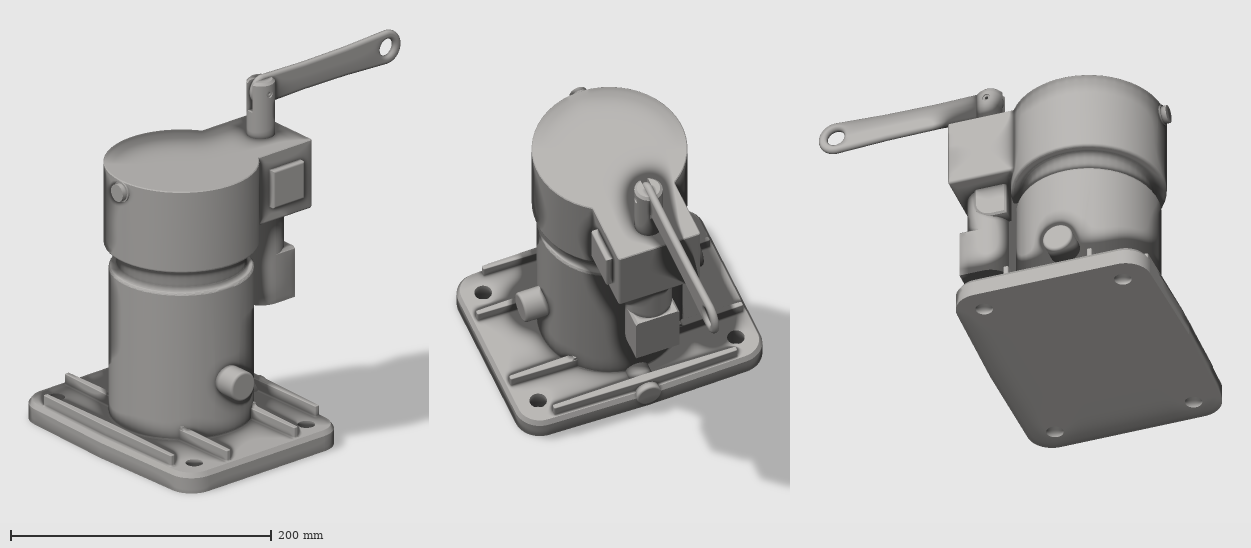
import cadquery as cq
import math

overall_height = 277.46
select_margin = 1.0

base_length = 203.0
base_front_y = 81.45
base_back_y = 80.5
base_end_y = 78.2
base_corner_radius = 20.0
base_height = 16.5
base_bevel_height = 3.7
base_bevel_inset = 2.5
bolt_hole_diameter = 13.5
bolt_spacing_x = 164.0
bolt_spacing_y = 113.0

rib_top_z = 25.5
rib_end_width = 4.0
edge_rib_middle_width = 7.0
side_rib_middle_width = 9.0
rib_end_round = 1.2
rib_top_round = 0.6
side_rib_y = 34.0
side_rib_tip_x = 96.5
edge_rib_y = 72.8
edge_rib_tip_x = 76.0
foot_fillet = 1.2
rib_root_fillet = 2.5
rib_root_fillet_width = 6.0

body_radius = 56.0
body_top_z = 140.0
neck_radius = 50.0
neck_fillet = 3.0
head_radius = 60.0
head_bottom_z = 158.0
head_top_z = 226.8
head_top_chamfer = 0.7
shoulder_round = 2.2
trunnion_diameter = 24.0
trunnion_tip_x = 74.0
trunnion_z = 61.5
trunnion_round = 2.0

block_half_width = 34.0
block_back_y = 103.3
block_bottom_z = 169.0
block_edge_round = 2.0
block_junction_fillet = 2.0
cover_length_y = 31.0
cover_height_z = 31.0
cover_thickness = 5.5
cover_center_y = 75.3
cover_round = 1.5

shaft_y = 80.0
side_cylinder_radius = 18.0
side_cylinder_bottom_z = 90.0
square_back_top_z = 132.5
square_back_y = 99.2
square_top_bevel = 1.8
web_half_width = 6.0
pad_x = 19.0
pad_front_y = 61.0
pad_back_y = 87.0
pad_bottom_z = 142.0
pad_corner_radius = 14.0
pad_bevel = 1.5

plug_diameter = 14.0
plug_collar_diameter = 16.5
plug_z = 218.0
plug_tip_y = 65.0
plug_collar_y = 61.0
port_diameter = 20.0
port_z = 13.0
port_tip_y = 82.0
port_round = 1.5

shaft_diameter = 22.0
shaft_top_z = 273.0
shaft_chamfer = 2.0
shaft_depth = 30.0
slot_bottom_z = 248.2
lever_thickness = 6.0
lever_eye_radius = 14.0
lever_eye_y = 206.0
lever_z = overall_height - lever_eye_radius
lever_eye_hole_diameter = 14.0
lever_waist_half_height = 11.5
lever_root_half_height = 12.5
lever_root_reach = 10.3
lever_root_corner_radius = 5.0
lever_edge_round = 2.95
pin_diameter = 6.0
pin_length = 20.0
pin_bore_diameter = 2.7


def cylinder_x(diameter, x_start, x_end, y, z):
    """Cylinder along X between two X positions."""
    disc = cq.Workplane("YZ", origin=(x_start, y, z)).circle(diameter / 2)
    return disc.extrude(x_end - x_start)


def cylinder_y(diameter, y_start, y_end, z):
    """Cylinder along Y, on the middle plane of the pump."""
    length = y_end - y_start
    disc = cq.Workplane("XZ", origin=(0, y_start, z)).circle(diameter / 2)
    return disc.extrude(-length)


def box_between(x_range, y_range, z_range):
    """Box from its lower and upper limits along each axis."""
    size = [high - low for low, high in (x_range, y_range, z_range)]
    corner = (x_range[0], y_range[0], z_range[0])
    return cq.Workplane("XY", origin=corner).box(*size, centered=False)


def edges_between(edges, x_range, y_range, z_range):
    """Those of the edges whose centers lie within the limits, widened by the margin."""
    ranges = (x_range, y_range, z_range)
    low = [limits[0] - select_margin for limits in ranges]
    high = [limits[1] + select_margin for limits in ranges]
    box = cq.selectors.BoxSelector(low, high)
    return edges.newObject(box.filter(edges.vals()))


def make_plate():
    half = base_length / 2
    outline = [
        (-half, -base_end_y),
        (0, -base_front_y),
        (half, -base_end_y),
        (half, base_end_y),
        (0, base_back_y),
        (-half, base_end_y),
    ]
    plate = cq.Workplane("XY").polyline(outline).close().extrude(base_height)
    plate = plate.edges("|Z").edges("<X or >X").fillet(base_corner_radius)
    return plate.faces(">Z").edges().chamfer(base_bevel_height, base_bevel_inset)


def make_bolt_holes():
    return (
        cq.Workplane("XY")
        .rect(bolt_spacing_x, bolt_spacing_y, forConstruction=True)
        .vertices()
        .circle(bolt_hole_diameter / 2)
        .extrude(base_height)
    )


def make_rib(half_length, middle_width, y):
    """Rib along X, widest in the middle and tapering in plan to both ends."""
    middle_half = middle_width / 2
    end_half = rib_end_width / 2
    plan = [
        (-half_length, y - end_half),
        (0, y - middle_half),
        (half_length, y - end_half),
        (half_length, y + end_half),
        (0, y + middle_half),
        (-half_length, y + end_half),
    ]
    rib = cq.Workplane("XY").polyline(plan).close().extrude(rib_top_z)
    rib = rib.edges("|Z").edges("<X or >X").fillet(rib_end_round)
    return rib.faces(">Z").edges().fillet(rib_top_round)


def make_rib_root(y):
    """Concave rises on top of a side rib, one on each side of the body."""
    body_x = math.sqrt(body_radius**2 - y**2)
    tip_x = body_x + rib_root_fillet
    top_z = rib_top_z + rib_root_fillet
    inset = rib_root_fillet * (1 - math.sqrt(0.5))
    return (
        cq.Workplane("XZ", origin=(0, y, 0))
        .moveTo(-tip_x, rib_top_z)
        .threePointArc((-body_x - inset, rib_top_z + inset), (-body_x, top_z))
        .lineTo(body_x, top_z)
        .threePointArc((body_x + inset, rib_top_z + inset), (tip_x, rib_top_z))
        .close()
        .extrude(rib_root_fillet_width / 2, both=True)
    )


def make_column():
    """Turned body, grooved neck and head."""
    neck_edge = neck_radius + neck_fillet
    inset = neck_fillet * (1 - math.sqrt(0.5))
    profile = (
        cq.Workplane("XZ")
        .lineTo(body_radius, 0)
        .lineTo(body_radius, body_top_z)
        .lineTo(neck_edge, body_top_z)
        .threePointArc((neck_radius + inset, body_top_z + inset), (neck_radius, body_top_z + neck_fillet))
        .lineTo(neck_radius, head_bottom_z - neck_fillet)
        .threePointArc((neck_radius + inset, head_bottom_z - inset), (neck_edge, head_bottom_z))
        .lineTo(head_radius, head_bottom_z)
        .lineTo(head_radius, head_top_z)
        .lineTo(0, head_top_z)
        .close()
    )
    column = profile.revolve(360, (0, 0, 0), (0, 1, 0))
    for radius, z in ((body_radius, body_top_z), (head_radius, head_bottom_z)):
        rims = edges_between(column.edges("%CIRCLE"), (0, 0), (0, 0), (z, z))
        shoulder = rims.filter(lambda edge: math.isclose(edge.radius(), radius))
        column = shoulder.fillet(shoulder_round)
    return column


def make_block():
    block = box_between(
        (-block_half_width, block_half_width), (0, block_back_y), (block_bottom_z, head_top_z)
    )
    block = block.edges("|Z and >Y").fillet(block_edge_round)
    return block.faces("<Z").edges().fillet(block_edge_round)


def make_cover():
    cover = box_between(
        (0, block_half_width + cover_thickness),
        (cover_center_y - cover_length_y / 2, cover_center_y + cover_length_y / 2),
        (0, cover_height_z),
    ).translate((0, 0, (block_bottom_z + head_top_z - cover_height_z) / 2))
    return cover.faces(">X").edges().fillet(cover_round)


def make_side_cylinder():
    height = block_bottom_z - side_cylinder_bottom_z
    cylinder = (
        cq.Workplane("XY", origin=(0, shaft_y, side_cylinder_bottom_z))
        .circle(side_cylinder_radius)
        .extrude(height)
    )
    square_back = box_between(
        (-side_cylinder_radius, side_cylinder_radius),
        (shaft_y, square_back_y),
        (side_cylinder_bottom_z, square_back_top_z),
    )
    square_back = square_back.faces(">Z").edges("|Y").chamfer(square_top_bevel)
    web = box_between(
        (-web_half_width, web_half_width), (0, shaft_y), (side_cylinder_bottom_z, block_bottom_z)
    )
    pad = box_between((-pad_x, 0), (pad_front_y, pad_back_y), (pad_bottom_z, block_bottom_z))
    pad = pad.edges("|X and <Z and >Y").fillet(pad_corner_radius)
    pad = pad.faces("<X").edges("not >Z").chamfer(pad_bevel)
    return cylinder.union(square_back).union(web).union(pad)


def make_foot():
    """Plate, ribs and column, filleted where they meet."""
    foot = make_plate().union(make_column())
    for side in (-1, 1):
        foot = foot.union(make_rib(side_rib_tip_x, side_rib_middle_width, side * side_rib_y))
        foot = foot.union(make_rib(edge_rib_tip_x, edge_rib_middle_width, side * edge_rib_y))
    half = base_length / 2
    level = edges_between(foot.edges(), (-half, half), (-half, half), (base_height, base_height))
    plate_rim = make_plate().faces(">Z").wires().val()
    feet = level.filter(lambda edge: plate_rim.distance(edge) > foot_fillet / 4)
    foot = feet.fillet(foot_fillet)
    for y in (-side_rib_y, side_rib_y):
        foot = foot.union(make_rib_root(y))
    return foot.cut(make_bolt_holes())


def make_housing():
    housing = make_foot().union(make_block())
    junction_y = math.sqrt(head_radius**2 - block_half_width**2)
    junction = edges_between(
        housing.edges("|Z"),
        (-block_half_width, block_half_width),
        (junction_y, junction_y),
        (block_bottom_z, head_top_z),
    )
    housing = junction.fillet(block_junction_fillet)
    housing = housing.faces(">Z").chamfer(head_top_chamfer)
    housing = housing.union(make_cover()).union(make_side_cylinder())
    trunnions = cylinder_x(trunnion_diameter, -trunnion_tip_x, trunnion_tip_x, 0, trunnion_z)
    trunnions = trunnions.edges().fillet(trunnion_round)
    port = cylinder_y(port_diameter, 0, port_tip_y, port_z).faces(">Y").edges().fillet(port_round)
    plug = cylinder_y(plug_diameter, -plug_tip_y, 0, plug_z)
    collar = cylinder_y(plug_collar_diameter, -plug_collar_y, 0, plug_z)
    for fitting in (trunnions, port, plug, collar):
        housing = housing.union(fitting)
    socket = (
        cq.Workplane("XY", origin=(0, shaft_y, head_top_z - shaft_depth))
        .circle(shaft_diameter / 2)
        .extrude(shaft_depth)
    )
    return housing.cut(socket)


def make_shaft():
    bottom_z = head_top_z - shaft_depth
    shaft = (
        cq.Workplane("XY", origin=(0, shaft_y, bottom_z))
        .circle(shaft_diameter / 2)
        .extrude(shaft_top_z - bottom_z)
        .faces(">Z")
        .chamfer(shaft_chamfer)
    )
    half_slot = lever_thickness / 2
    slot = box_between(
        (-half_slot, half_slot),
        (shaft_y - shaft_diameter, shaft_y + shaft_diameter),
        (slot_bottom_z, shaft_top_z),
    )
    pin_hole = cylinder_x(pin_diameter, -shaft_diameter, shaft_diameter, shaft_y, lever_z)
    return shaft.cut(slot).cut(pin_hole)


def make_lever():
    waist_y = (lever_eye_y + shaft_y) / 2
    lever = (
        cq.Workplane("YZ", origin=(-lever_thickness / 2, 0, lever_z))
        .moveTo(lever_eye_y, lever_eye_radius)
        .threePointArc((lever_eye_y + lever_eye_radius, 0), (lever_eye_y, -lever_eye_radius))
        .threePointArc((waist_y, -lever_waist_half_height), (shaft_y, -lever_root_half_height))
        .threePointArc((shaft_y - lever_root_reach, 0), (shaft_y, lever_root_half_height))
        .threePointArc((waist_y, lever_waist_half_height), (lever_eye_y, lever_eye_radius))
        .close()
        .extrude(lever_thickness)
    )
    eye_hole = cylinder_x(lever_eye_hole_diameter, -lever_thickness, lever_thickness, lever_eye_y, lever_z)
    pin_hole = cylinder_x(pin_diameter, -lever_thickness, lever_thickness, shaft_y, lever_z)
    root_corners = edges_between(lever.edges("|X"), (0, 0), (shaft_y, shaft_y), (0, overall_height))
    lever = root_corners.fillet(lever_root_corner_radius)
    lever = lever.cut(eye_hole).faces("<X or >X").edges().fillet(lever_edge_round)
    return lever.cut(pin_hole)


def make_roll_pin():
    half = pin_length / 2
    pin = cylinder_x(pin_diameter, -half, half, shaft_y, lever_z)
    return pin.cut(cylinder_x(pin_bore_diameter, -half, half, shaft_y, lever_z))


housing = make_housing()
shaft = make_shaft()
lever = make_lever()
roll_pin = make_roll_pin()
result = cq.Compound.makeCompound([housing.val(), shaft.val(), lever.val(), roll_pin.val()])